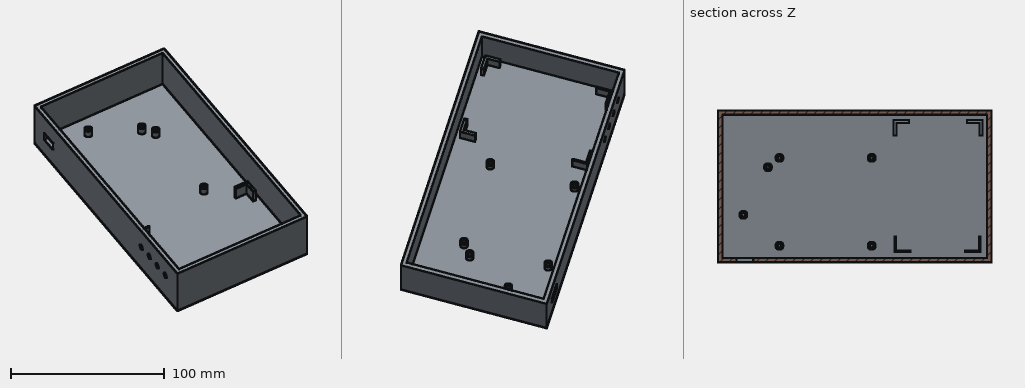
import cadquery as cq

LENGTH = 178.0
WIDTH = 99.0
HEIGHT = 35.0
WALL = 3.0
FLOOR = 6.0

STANDOFF_DIAMETER = 5.0
STANDOFF_HEIGHT = 5.0
SCREW_HOLE_DIAMETER = 2.5
MOUTH_DIAMETER = 3.0
MOUTH_DEPTH = 0.9
BOARD_LEFT = -49.0
BOARD_RIGHT = 11.0
BOARD_BACK = 18.5
BOARD_FRONT = -38.6
BOARD_STANDOFFS = [(x, y) for x in (BOARD_LEFT, BOARD_RIGHT) for y in (BOARD_FRONT, BOARD_BACK)]
SMALL_BOARD_STANDOFFS = [(-56.5, 12.5), (-72.5, -18.5)]
STANDOFF_CENTERS = BOARD_STANDOFFS + SMALL_BOARD_STANDOFFS

BRACKET_LEG = 10.1
BRACKET_HEIGHT = 8.9
BACK_THICKNESS = 2.0
BACK_LEFT = 25.1
BACK_RIGHT = 83.1
BACK_Y = 43.3
FRONT_THICKNESS = 1.0
FRONT_LEFT = 26.0
FRONT_RIGHT = 81.9
FRONT_Y = -42.7

OPENING_TOP = 20.1
OPENING_LEFT = -76.9
OPENING_LENGTH = 10.9
OPENING_HEIGHT = 6.0
LIGHT_HOLE_DIAMETER = 3.7
LIGHT_HOLE_COUNT = 4
LIGHT_HOLE_PITCH = 10.0
LIGHT_HOLE_FIRST_X = 44.0
LIGHT_HOLE_Z = OPENING_TOP


def open_box():
    outer = cq.Workplane("XY").box(LENGTH, WIDTH, HEIGHT, centered=(True, True, False))
    cavity = (
        cq.Workplane("XY", origin=(0, 0, FLOOR))
        .rect(LENGTH - 2 * WALL, WIDTH - 2 * WALL)
        .extrude(HEIGHT - FLOOR)
    )
    return outer.cut(cavity)


def standoffs():
    """Hollow posts with a screw hole as deep as the post and a wider mouth."""
    posts = (
        cq.Workplane("XY", origin=(0, 0, FLOOR))
        .pushPoints(STANDOFF_CENTERS)
        .circle(STANDOFF_DIAMETER / 2)
        .circle(SCREW_HOLE_DIAMETER / 2)
        .extrude(STANDOFF_HEIGHT)
    )
    mouths = (
        cq.Workplane("XY", origin=(0, 0, FLOOR + STANDOFF_HEIGHT))
        .pushPoints(STANDOFF_CENTERS)
        .circle(MOUTH_DIAMETER / 2)
        .extrude(-MOUTH_DEPTH)
    )
    return posts.cut(mouths)


def bracket(x, y, x_side, y_side, thickness):
    """L bracket with its outer corner at (x, y); the sides (+1 or -1) give the way its legs run."""
    leg_x = x_side * BRACKET_LEG
    leg_y = y_side * BRACKET_LEG
    wall_x = x_side * thickness
    wall_y = y_side * thickness
    corners = [(0, 0), (leg_x, 0), (leg_x, wall_y), (wall_x, wall_y), (wall_x, leg_y), (0, leg_y)]
    return cq.Workplane("XY", origin=(x, y, FLOOR)).polyline(corners).close().extrude(BRACKET_HEIGHT)


def front_openings():
    """Rectangular connector opening and the row of light holes, cut through the front wall only."""
    front_face = cq.Workplane("XZ", origin=(0, -WIDTH / 2, 0))
    connector = (
        front_face.center(OPENING_LEFT + OPENING_LENGTH / 2, OPENING_TOP - OPENING_HEIGHT / 2)
        .rect(OPENING_LENGTH, OPENING_HEIGHT)
        .extrude(-WALL)
    )
    light_holes = [(LIGHT_HOLE_FIRST_X + i * LIGHT_HOLE_PITCH, LIGHT_HOLE_Z) for i in range(LIGHT_HOLE_COUNT)]
    lights = front_face.pushPoints(light_holes).circle(LIGHT_HOLE_DIAMETER / 2).extrude(-WALL)
    return connector.union(lights)


result = (
    open_box()
    .union(standoffs())
    .union(bracket(BACK_LEFT, BACK_Y, 1, -1, BACK_THICKNESS))
    .union(bracket(BACK_RIGHT, BACK_Y, -1, -1, BACK_THICKNESS))
    .union(bracket(FRONT_LEFT, FRONT_Y, 1, 1, FRONT_THICKNESS))
    .union(bracket(FRONT_RIGHT, FRONT_Y, -1, 1, FRONT_THICKNESS))
    .cut(front_openings())
)